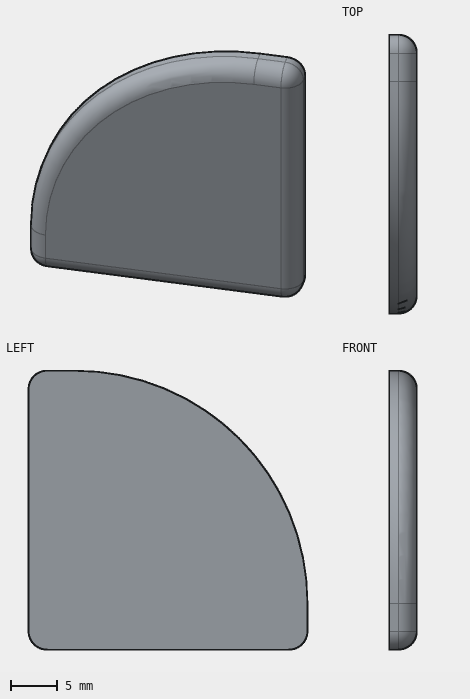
import cadquery as cq
import math

side = 30.0
thickness = 3.0
corner_radius = 2.0
rim_radius = corner_radius
straight_end = 5.0

arc_radius = side - straight_end
arc_middle = straight_end + arc_radius * math.sqrt(0.5)


def quadrant_plate():
    """Flat plate with its square corner at +Y, -Z; the sketch runs along Y and Z."""
    return (
        cq.Workplane("YZ")
        .moveTo(side, 0)
        .lineTo(side, side)
        .lineTo(side - straight_end, side)
        .threePointArc((side - arc_middle, arc_middle), (0, straight_end))
        .lineTo(0, 0)
        .close()
        .extrude(thickness)
    )


def round_corners(plate):
    """Round the three square corners; the tangent ends of the large arc stay as they are."""
    square_corners = plate.edges("|X").edges(">Y or <Z")
    return square_corners.fillet(corner_radius)


def round_rim(plate):
    """Round the whole rim of the +X face."""
    return plate.faces(">X").edges().fillet(rim_radius)


result = round_rim(round_corners(quadrant_plate()))